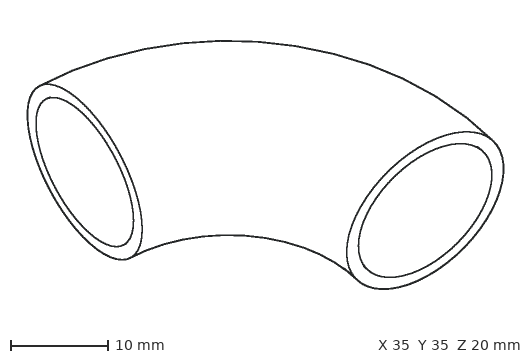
import cadquery as cq

overall_length = 35.0
outer_diameter = 20.0
wall_thickness = 1.5
bend_angle = 90.0

outer_radius = outer_diameter / 2
inner_radius = outer_radius - wall_thickness
bend_radius = overall_length - outer_radius

pipe_section = (
    cq.Workplane("XZ")
    .center(-bend_radius, 0)
    .circle(outer_radius)
    .circle(inner_radius)
)

bend_axis_start = (bend_radius, 0)
bend_axis_end = (bend_radius, -1)
result = pipe_section.revolve(bend_angle, bend_axis_start, bend_axis_end)